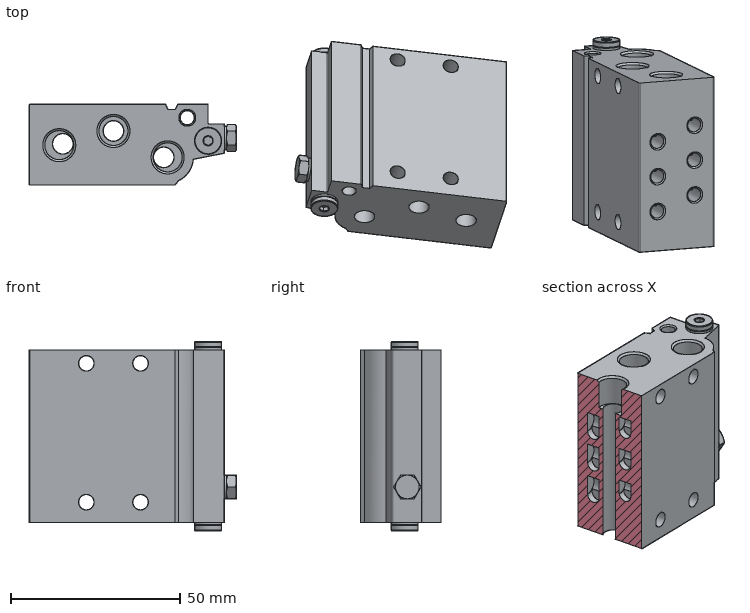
import cadquery as cq
import math

height = 51.0
depth = 23.9
front_right_x = 57.65
step_x = 52.85
step_y = 18.1
nose_tip_y = 9.4
bevel_start_x = 43.1
bevel_end_x = 44.1
nose_root = (48.5, 7.6)
edge_radius = 0.4
nose_radius = 0.3
step_radius = 0.3

groove_depth = 1.55
groove_half_top = 1.8
groove_half_floor = 1.05
back_groove_x = 42.1

supply_diameter = 8.57
supply_chamfer = 0.6
supply_depth = 9.0
channel_diameter = 6.0
round_wall_port = (40.9, 8.2)
supply_ports = [
    ((8.9, 11.8), (9.95, 12.2)),
    ((24.9, 16.0), (24.9, 16.0)),
    (round_wall_port, (39.75, 8.2)),
]

small_port_diameter = 4.13
small_port_chamfer = 0.43
pilot_port = (46.7, 19.9)
station_pitch = 10.5
station_count = 3
work_port_depth = 10.0
work_port_rows = [
    (18.05, 11.9, 6.0, 0.9),
    (6.3, 16.0, 4.5, 0.4),
]

mount_diameter = 4.5
mount_xs = (16.9, 32.9)
mount_zs = (6.0, 47.0)

plug_x = step_x
plug_y = 13.1
plug_diameter = 8.0
plug_height = 2.5
plug_chamfer = 0.15
plug_chamfer_height = 0.3
plug_groove_bottom = 0.65
plug_groove_width = 0.3
plug_groove_depth = 0.06
socket_flats = 2.5
socket_mouth_diameter = 3.0
socket_depth = 1.5

screw_y = 13.9
screw_z = station_pitch
collar_diameter = 7.0
collar_length = 0.65
hex_flats = 7.0
hex_corners = hex_flats / math.cos(math.pi / 6)
screw_end_x = 61.2
hex_length = screw_end_x - front_right_x - collar_length
hex_chamfer_angle = math.radians(30)


def build_profile():
    """Plan outline of the housing, extruded to its full height."""
    cx, cy = round_wall_port
    wall_radius = math.hypot(nose_root[0] - cx, nose_root[1] - cy)
    arc_end = (bevel_end_x, cy - math.sqrt(wall_radius**2 - (bevel_end_x - cx) ** 2))
    start_angle = math.atan2(nose_root[1] - cy, nose_root[0] - cx)
    end_angle = math.atan2(arc_end[1] - cy, arc_end[0] - cx)
    mid_angle = (start_angle + end_angle) / 2
    arc_mid = (cx + wall_radius * math.cos(mid_angle), cy + wall_radius * math.sin(mid_angle))
    body = (
        cq.Workplane("XY")
        .moveTo(0, 0)
        .lineTo(bevel_start_x, 0)
        .lineTo(*arc_end)
        .threePointArc(arc_mid, nose_root)
        .lineTo(front_right_x, nose_tip_y)
        .lineTo(front_right_x, step_y)
        .lineTo(step_x, step_y)
        .lineTo(step_x, depth)
        .lineTo(back_groove_x + groove_half_top, depth)
        .lineTo(back_groove_x + groove_half_floor, depth - groove_depth)
        .lineTo(back_groove_x - groove_half_floor, depth - groove_depth)
        .lineTo(back_groove_x - groove_half_top, depth)
        .lineTo(0, depth)
        .close()
        .extrude(height)
    )
    body = body.edges("|Z and <X").fillet(edge_radius)
    nose_edge = cq.selectors.NearestToPointSelector((front_right_x, nose_tip_y, height / 2))
    body = body.edges(nose_edge).fillet(nose_radius)
    step_edge = cq.selectors.NearestToPointSelector((step_x, step_y, height / 2))
    return body.edges(step_edge).fillet(step_radius)


def chamfered_bore(diameter, length, chamfer):
    """Cutter along -Z whose chamfered mouth is centred on the origin."""
    radius = diameter / 2
    return (
        cq.Workplane("XZ")
        .moveTo(0, 0)
        .lineTo(radius + chamfer, 0)
        .lineTo(radius, -chamfer)
        .lineTo(radius, -length)
        .lineTo(0, -length)
        .close()
        .revolve(360, (0, 0, 0), (0, 1, 0))
    )


def work_port_cutter(cross_diameter, cross_edge):
    """Port along +X from the origin, with a cross bore breaking into its floor."""
    port = chamfered_bore(small_port_diameter, work_port_depth, small_port_chamfer)
    port = port.rotate((0, 0, 0), (0, 1, 0), -90)
    axis_offset = cross_diameter / 2 * math.sin(math.pi / 4)
    cross_bore = (
        cq.Workplane("XZ", origin=(work_port_depth - axis_offset, 0, cross_edge + axis_offset))
        .circle(cross_diameter / 2)
        .extrude(small_port_diameter / 2, both=True)
    )
    return port.union(cross_bore)


def build_housing():
    body = build_profile()

    supply_cutter = chamfered_bore(supply_diameter, supply_depth, supply_chamfer)
    for port_centre, channel_centre in supply_ports:
        body = body.cut(supply_cutter.translate((*port_centre, height)))
        channel = cq.Workplane("XY").center(*channel_centre).circle(channel_diameter / 2).extrude(height)
        body = body.cut(channel)

    pilot_cutter = chamfered_bore(small_port_diameter, height, small_port_chamfer)
    body = body.cut(pilot_cutter.translate((*pilot_port, height)))

    for row_y, lowest_z, cross_diameter, cross_edge in work_port_rows:
        cutter = work_port_cutter(cross_diameter, cross_edge)
        for station in range(station_count):
            body = body.cut(cutter.translate((0, row_y, lowest_z + station * station_pitch)))

    mount_holes = (
        cq.Workplane("XZ")
        .pushPoints([(x, z) for x in mount_xs for z in mount_zs])
        .circle(mount_diameter / 2)
        .extrude(-depth)
    )
    return body.cut(mount_holes)


def build_end_plug():
    """Plug standing on the XY plane, with its hex socket at the top."""
    radius = plug_diameter / 2
    groove_middle = plug_groove_bottom + plug_groove_width / 2
    plug = (
        cq.Workplane("XZ")
        .moveTo(0, 0)
        .lineTo(radius, 0)
        .lineTo(radius, plug_groove_bottom)
        .lineTo(radius - plug_groove_depth, groove_middle)
        .lineTo(radius, plug_groove_bottom + plug_groove_width)
        .lineTo(radius, plug_height - plug_chamfer_height)
        .lineTo(radius - plug_chamfer, plug_height)
        .lineTo(0, plug_height)
        .close()
        .revolve(360, (0, 0, 0), (0, 1, 0))
    )
    socket_corners = socket_flats / math.cos(math.pi / 6)
    socket = (
        cq.Workplane("XY", origin=(0, 0, plug_height - socket_depth))
        .transformed(rotate=(0, 0, 90))
        .polygon(6, socket_corners)
        .extrude(socket_depth)
    )
    mouth = chamfered_bore(socket_flats, socket_depth, (socket_mouth_diameter - socket_flats) / 2)
    return plug.cut(socket).cut(mouth.translate((0, 0, plug_height)))


def build_hex_screw():
    """Round collar against the nose, then a hex head with both ends chamfered."""
    flat_radius = hex_flats / 2
    corner_drop = (hex_corners - hex_flats) / 2 * math.tan(hex_chamfer_angle)
    envelope = (
        cq.Workplane("XY")
        .moveTo(0, 0)
        .lineTo(0, flat_radius)
        .lineTo(corner_drop, hex_corners / 2)
        .lineTo(hex_length - corner_drop, hex_corners / 2)
        .lineTo(hex_length, flat_radius)
        .lineTo(hex_length, 0)
        .close()
        .revolve(360, (0, 0, 0), (1, 0, 0))
    )
    head = cq.Workplane("YZ").polygon(6, hex_corners).extrude(hex_length).intersect(envelope)
    head = head.translate((collar_length, 0, 0))
    collar = cq.Workplane("YZ").circle(collar_diameter / 2).extrude(collar_length)
    return collar.union(head).translate((front_right_x, screw_y, screw_z))


housing = build_housing()
hex_screw = build_hex_screw()

end_plugs = []
for base_z, turn in ((height, 0), (0, 180)):
    plug = build_end_plug().rotate((0, 0, 0), (1, 0, 0), turn)
    end_plugs.append(plug.translate((plug_x, plug_y, base_z)))

result = cq.Compound.makeCompound([housing.val(), hex_screw.val(), *[plug.val() for plug in end_plugs]])